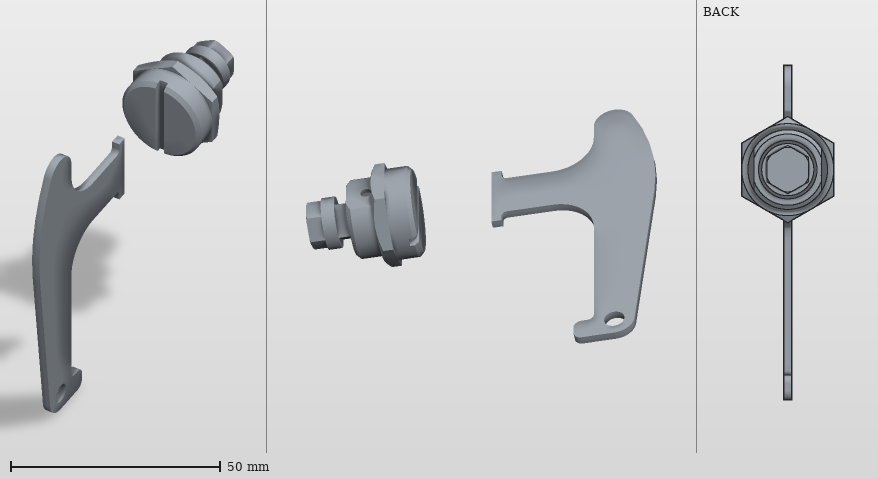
import cadquery as cq
import math


TOTAL_LENGTH = 84.3
CUT_MARGIN = 0.85
HEX_CHAMFER_ANGLE = math.radians(30)

HEAD_LENGTH = 6.1
NUT_THICKNESS = 3.4
HOUSING_LENGTH = 16.0
COLLAR_LENGTH = 0.4
SQUARE_LENGTH = 2.9
WASHER_THICKNESS = 1.6
WASHER_COUNT = 2
SCREW_HEAD_LENGTH = 3.8

COLLAR_END = HOUSING_LENGTH + COLLAR_LENGTH
SQUARE_END = COLLAR_END + SQUARE_LENGTH
SCREW_HEAD_START = SQUARE_END + WASHER_COUNT * WASHER_THICKNESS
LOCK_LENGTH = SCREW_HEAD_START + SCREW_HEAD_LENGTH

HEAD_DIAMETER = 22.0
NUT_ACROSS_FLATS = HEAD_DIAMETER
THREAD_DIAMETER = 19.05
THREAD_ACROSS_FLATS = 16.0
HOUSING_CHAMFER = 1.0
SIDE_HOLE_DIAMETER = 2.7
SIDE_HOLE_SETBACK = 1.7
SIDE_HOLE_Y = HEAD_LENGTH + NUT_THICKNESS + SIDE_HOLE_SETBACK

ROTOR_DIAMETER = 14.0
COLLAR_DIAMETER = 12.0
SQUARE_SIDE = 8.0
SLOT_WIDTH = 2.3
SLOT_DEPTH = 2.1

SCREW_ACROSS_FLATS = 10.0
SCREW_CHAMFER_DIAMETER = 10.6
SHANK_DIAMETER = 6.0
SHANK_LENGTH = 12.0
WASHER_DIAMETER = 12.5

KEY_THICKNESS = 2.0
KEY_HEIGHT = 80.0
KEY_REACH = 40.0
FOOT_DEPTH = 2.5
FOOT_WIDTH = 17.7
NECK_WIDTH = 12.0
FOOT_FILLET = 1.3
HANDLE_DEPTH = 15.0
END_RADIUS = 5.0
TOP_CENTRE_Z = 20.0
BACK_RADIUS = 50.0
NECK_FILLET = 10.0
HOOK_REACH = 5.0
HOOK_HEIGHT = 6.0
HOOK_FILLET = 2.0
HOOK_INNER_FILLET = 1.5
KEY_HOLE_DIAMETER = 5.0


def disc(diameter, start, end):
    """Solid cylinder on the Y axis between two Y positions."""
    return cq.Workplane("XZ", origin=(0, start, 0)).circle(diameter / 2).extrude(start - end)


def hexagon(across_flats, start, end):
    """Hexagonal prism on the Y axis with two flats facing +X and -X."""
    corner_diameter = across_flats / math.cos(math.pi / 6)
    prism = cq.Workplane("XZ").polygon(6, corner_diameter).extrude(start - end)
    return prism.rotate((0, 0, 0), (0, 1, 0), 30).translate((0, start, 0))


def chamfered_hexagon(across_flats, start, end, chamfer_diameter):
    """Hexagonal prism whose corners are turned down to a circle at the far end."""
    outer_radius = across_flats
    face_radius = chamfer_diameter / 2
    cone_drop = (outer_radius - face_radius) * math.tan(HEX_CHAMFER_ANGLE)
    envelope = (
        cq.Workplane("XY")
        .moveTo(0, end)
        .lineTo(face_radius, end)
        .lineTo(outer_radius, end - cone_drop)
        .lineTo(outer_radius, start - cone_drop)
        .lineTo(0, start - cone_drop)
        .close()
        .revolve(360, (0, 0, 0), (0, 1, 0))
    )
    return hexagon(across_flats, start, end).intersect(envelope)


def cut_key_slot(body):
    """Cut the vertical key slot across the front face."""
    slot = cq.Workplane("XY").box(
        SLOT_WIDTH, SLOT_DEPTH + CUT_MARGIN, HEAD_DIAMETER + CUT_MARGIN
    )
    return body.cut(slot.translate((0, (SLOT_DEPTH - CUT_MARGIN) / 2, 0)))


def make_housing():
    head = disc(HEAD_DIAMETER, 0, HEAD_LENGTH).faces("<Y").chamfer(HOUSING_CHAMFER)
    thread = disc(THREAD_DIAMETER, HEAD_LENGTH, HOUSING_LENGTH).faces(">Y").chamfer(HOUSING_CHAMFER)
    flats = cq.Workplane("XY").box(
        THREAD_ACROSS_FLATS, 2 * HOUSING_LENGTH, THREAD_DIAMETER + CUT_MARGIN
    )
    bore = disc(ROTOR_DIAMETER, -CUT_MARGIN, HOUSING_LENGTH + CUT_MARGIN)
    side_hole = (
        cq.Workplane("YZ")
        .center(SIDE_HOLE_Y, 0)
        .circle(SIDE_HOLE_DIAMETER / 2)
        .extrude(-THREAD_DIAMETER)
    )
    housing = head.union(thread.intersect(flats)).cut(bore).cut(side_hole)
    return cut_key_slot(housing)


def make_nut():
    nut_end = HEAD_LENGTH + NUT_THICKNESS
    nut = chamfered_hexagon(NUT_ACROSS_FLATS, HEAD_LENGTH, nut_end, NUT_ACROSS_FLATS)
    return nut.cut(disc(THREAD_DIAMETER, HEAD_LENGTH, nut_end))


def make_rotor():
    barrel = disc(ROTOR_DIAMETER, 0, HOUSING_LENGTH)
    collar = disc(COLLAR_DIAMETER, HOUSING_LENGTH, COLLAR_END)
    square = (
        cq.Workplane("XZ", origin=(0, COLLAR_END, 0))
        .rect(SQUARE_SIDE, SQUARE_SIDE)
        .extrude(-SQUARE_LENGTH)
        .rotate((0, 0, 0), (0, 1, 0), 45)
    )
    screw_hole = disc(SHANK_DIAMETER, SCREW_HEAD_START - SHANK_LENGTH, SQUARE_END)
    return cut_key_slot(barrel.union(collar).union(square).cut(screw_hole))


def make_washer(start):
    end = start + WASHER_THICKNESS
    return disc(WASHER_DIAMETER, start, end).cut(disc(SHANK_DIAMETER, start, end))


def make_cam_screw():
    head = chamfered_hexagon(
        SCREW_ACROSS_FLATS, SCREW_HEAD_START, LOCK_LENGTH, SCREW_CHAMFER_DIAMETER
    )
    shank = disc(SHANK_DIAMETER, SCREW_HEAD_START - SHANK_LENGTH, SCREW_HEAD_START)
    return head.union(shank)


def make_key():
    """Flat key drawn in the YZ plane: foot towards +Y, handle crown towards -Y."""
    crown_y = LOCK_LENGTH - TOTAL_LENGTH
    foot_y = crown_y + KEY_REACH
    neck_y = foot_y - FOOT_DEPTH
    inner_y = crown_y + HANDLE_DEPTH
    end_centre_y = inner_y - END_RADIUS
    top_z = TOP_CENTRE_Z + END_RADIUS
    bottom_z = top_z - KEY_HEIGHT
    bottom_centre_z = bottom_z + END_RADIUS
    hook_y = inner_y + HOOK_REACH
    hook_z = bottom_z + HOOK_HEIGHT

    back_centre_y = crown_y + BACK_RADIUS
    centre_dy = back_centre_y - end_centre_y
    radius_difference = BACK_RADIUS - END_RADIUS
    back_centre_z = TOP_CENTRE_Z - math.sqrt(radius_difference**2 - centre_dy**2)
    top_angle = math.acos(centre_dy / radius_difference)

    bottom_drop = back_centre_z - bottom_centre_z
    centre_distance = math.hypot(centre_dy, bottom_drop)
    line_angle = math.atan2(bottom_drop, centre_dy) - math.acos(radius_difference / centre_distance)

    def on_arc(centre_y, centre_z, radius, angle):
        """Point on an arc, its angle measured up from the -Y direction."""
        return (centre_y - radius * math.cos(angle), centre_z + radius * math.sin(angle))

    bottom_mid_angle = -(line_angle + math.pi / 2) / 2
    outline = (
        cq.Workplane("YZ", origin=(-KEY_THICKNESS / 2, 0, 0))
        .moveTo(foot_y, FOOT_WIDTH / 2)
        .lineTo(neck_y, FOOT_WIDTH / 2)
        .lineTo(neck_y, NECK_WIDTH / 2)
        .lineTo(inner_y, NECK_WIDTH / 2)
        .lineTo(inner_y, TOP_CENTRE_Z)
        .threePointArc(
            (end_centre_y, top_z), on_arc(end_centre_y, TOP_CENTRE_Z, END_RADIUS, top_angle)
        )
        .threePointArc(
            (crown_y, back_centre_z),
            on_arc(back_centre_y, back_centre_z, BACK_RADIUS, -line_angle),
        )
        .lineTo(*on_arc(end_centre_y, bottom_centre_z, END_RADIUS, -line_angle))
        .threePointArc(
            on_arc(end_centre_y, bottom_centre_z, END_RADIUS, bottom_mid_angle),
            (end_centre_y, bottom_z),
        )
        .lineTo(hook_y, bottom_z)
        .lineTo(hook_y, hook_z)
        .lineTo(inner_y, hook_z)
        .lineTo(inner_y, -NECK_WIDTH / 2)
        .lineTo(neck_y, -NECK_WIDTH / 2)
        .lineTo(neck_y, -FOOT_WIDTH / 2)
        .lineTo(foot_y, -FOOT_WIDTH / 2)
        .close()
    )
    key = outline.extrude(KEY_THICKNESS)

    def round_corners(body, y, heights, radius):
        """Round the plate corners at one Y position and the given heights."""
        for z in heights:
            corner = cq.selectors.NearestToPointSelector((0, y, z))
            body = body.edges("|X").edges(corner).fillet(radius)
        return body

    neck_sides = (NECK_WIDTH / 2, -NECK_WIDTH / 2)
    key = round_corners(key, inner_y, neck_sides, NECK_FILLET)
    key = round_corners(key, neck_y, neck_sides, FOOT_FILLET)
    key = round_corners(key, hook_y, (bottom_z, hook_z), HOOK_FILLET)
    key = round_corners(key, inner_y, (hook_z,), HOOK_INNER_FILLET)

    hanging_hole = (
        cq.Workplane("YZ", origin=(-KEY_THICKNESS, 0, 0))
        .center(end_centre_y, bottom_centre_z)
        .circle(KEY_HOLE_DIAMETER / 2)
        .extrude(2 * KEY_THICKNESS)
    )
    return key.cut(hanging_hole)


housing = make_housing()
nut = make_nut()
rotor = make_rotor()
washers = [make_washer(SQUARE_END + i * WASHER_THICKNESS) for i in range(WASHER_COUNT)]
cam_screw = make_cam_screw()
key = make_key()

result = cq.Compound.makeCompound(
    [
        housing.val(),
        nut.val(),
        rotor.val(),
        *[washer.val() for washer in washers],
        cam_screw.val(),
        key.val(),
    ]
)